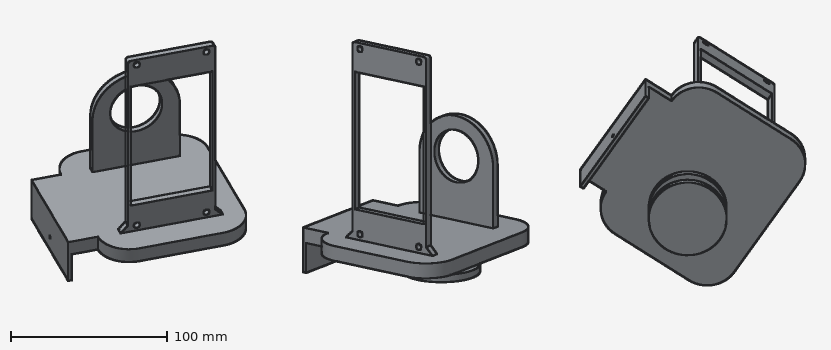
import cadquery as cq

PLATE_LENGTH = 117.0
PLATE_WIDTH = 99.0
PLATE_THICKNESS = 10.0
CORNER_RADIUS = 21.0

TONGUE_LENGTH = 20.0
TONGUE_WIDTH = PLATE_LENGTH - 2 * CORNER_RADIUS
WALL_HEIGHT = 30.0
WALL_THICKNESS = 2.5
WALL_HOLE_DIAMETER = 2.0
WALL_HOLE_DEPTH_BELOW_TOP = 20.0

UPRIGHT_THICKNESS = 5.0
UPRIGHT_WIDTH = 59.0
UPRIGHT_INSET = 20.0

ARCH_RADIUS = UPRIGHT_WIDTH / 2
ARCH_CENTRE_HEIGHT = 40.5
ARCH_HOLE_DIAMETER = 35.0
ARCH_HOLE_HEIGHT = 43.0

FRAME_HEIGHT = 132.0
FRAME_CORNER_RADIUS = 2.0
FRAME_BAND_HEIGHT = 20.0
FRAME_SIDE_WIDTH = 2.0
FRAME_HOLE_DIAMETER = 4.0
FRAME_HOLE_SPACING = 47.0
FRAME_HOLE_MARGIN = 4.0
GUSSET_SIZE = 5.0

SPOOL_DIAMETER = 50.0
SPOOL_HUB_DIAMETER = 20.0
SPOOL_RIM_THICKNESS = 5.0
SPOOL_HUB_LENGTH = 10.0
SPOOL_EDGE_INSET = 16.0

PLATE_LEFT = -PLATE_LENGTH / 2
PLATE_FRONT = -PLATE_WIDTH / 2
TONGUE_FRONT = PLATE_FRONT - TONGUE_LENGTH
ARCH_LEFT = PLATE_LEFT + UPRIGHT_INSET
FRAME_LEFT = -PLATE_LEFT - UPRIGHT_INSET - UPRIGHT_THICKNESS
SPOOL_X = PLATE_LEFT + SPOOL_EDGE_INSET + SPOOL_DIAMETER / 2


def upright_plane(left):
    """Plane facing +X at the left face of an upright: local x is Y, local y is Z."""
    return cq.Workplane("YZ", origin=(left, 0, 0))


def make_plate():
    return (
        cq.Workplane("XY")
        .rect(PLATE_LENGTH, PLATE_WIDTH)
        .extrude(-PLATE_THICKNESS)
        .edges("|Z")
        .fillet(CORNER_RADIUS)
    )


def make_tongue():
    """L-shaped tongue: a slab level with the plate and a thin drilled wall."""
    profile = (
        cq.Workplane("YZ")
        .moveTo(PLATE_FRONT, 0)
        .lineTo(TONGUE_FRONT, 0)
        .lineTo(TONGUE_FRONT, -WALL_HEIGHT)
        .lineTo(TONGUE_FRONT + WALL_THICKNESS, -WALL_HEIGHT)
        .lineTo(TONGUE_FRONT + WALL_THICKNESS, -PLATE_THICKNESS)
        .lineTo(PLATE_FRONT, -PLATE_THICKNESS)
        .close()
    )
    tongue = profile.extrude(TONGUE_WIDTH / 2, both=True)
    wall_hole = (
        cq.Workplane("XZ", origin=(0, TONGUE_FRONT, -WALL_HOLE_DEPTH_BELOW_TOP))
        .circle(WALL_HOLE_DIAMETER / 2)
        .extrude(-WALL_THICKNESS)
    )
    return tongue.cut(wall_hole)


def make_arch():
    """Round-topped upright with a large through hole."""
    arch = (
        upright_plane(ARCH_LEFT)
        .moveTo(-ARCH_RADIUS, 0)
        .lineTo(-ARCH_RADIUS, ARCH_CENTRE_HEIGHT)
        .threePointArc((0, ARCH_CENTRE_HEIGHT + ARCH_RADIUS), (ARCH_RADIUS, ARCH_CENTRE_HEIGHT))
        .lineTo(ARCH_RADIUS, 0)
        .close()
        .extrude(UPRIGHT_THICKNESS)
    )
    hole = (
        upright_plane(ARCH_LEFT)
        .center(0, ARCH_HOLE_HEIGHT)
        .circle(ARCH_HOLE_DIAMETER / 2)
        .extrude(UPRIGHT_THICKNESS)
    )
    return arch.cut(hole)


def make_gusset(side):
    """Triangular foot on the frame side facing side * Y."""
    edge = side * UPRIGHT_WIDTH / 2
    return (
        upright_plane(FRAME_LEFT)
        .moveTo(edge, 0)
        .lineTo(edge + side * GUSSET_SIZE, 0)
        .lineTo(edge, GUSSET_SIZE)
        .close()
        .extrude(UPRIGHT_THICKNESS)
    )


def make_frame():
    """Tall upright with a window, four corner holes and two gusset feet."""
    mid_height = FRAME_HEIGHT / 2
    frame = (
        upright_plane(FRAME_LEFT)
        .center(0, mid_height)
        .rect(UPRIGHT_WIDTH, FRAME_HEIGHT)
        .extrude(UPRIGHT_THICKNESS)
        .edges("|X and >Z")
        .fillet(FRAME_CORNER_RADIUS)
    )
    window = (
        upright_plane(FRAME_LEFT)
        .center(0, mid_height)
        .rect(UPRIGHT_WIDTH - 2 * FRAME_SIDE_WIDTH, FRAME_HEIGHT - 2 * FRAME_BAND_HEIGHT)
        .extrude(UPRIGHT_THICKNESS)
    )
    holes = (
        upright_plane(FRAME_LEFT)
        .center(0, mid_height)
        .rect(FRAME_HOLE_SPACING, FRAME_HEIGHT - 2 * FRAME_HOLE_MARGIN, forConstruction=True)
        .vertices()
        .circle(FRAME_HOLE_DIAMETER / 2)
        .extrude(UPRIGHT_THICKNESS)
    )
    frame = frame.cut(window).cut(holes)
    for side in (-1, 1):
        frame = frame.union(make_gusset(side))
    return frame


def make_spool():
    """Two round rims joined by a narrower hub, hanging from the plate."""
    return (
        cq.Workplane("XY", origin=(SPOOL_X, 0, -PLATE_THICKNESS))
        .circle(SPOOL_DIAMETER / 2)
        .extrude(-SPOOL_RIM_THICKNESS)
        .faces("<Z")
        .workplane()
        .circle(SPOOL_HUB_DIAMETER / 2)
        .extrude(SPOOL_HUB_LENGTH)
        .faces("<Z")
        .workplane()
        .circle(SPOOL_DIAMETER / 2)
        .extrude(SPOOL_RIM_THICKNESS)
    )


result = (
    make_plate()
    .union(make_tongue())
    .union(make_arch())
    .union(make_frame())
    .union(make_spool())
)